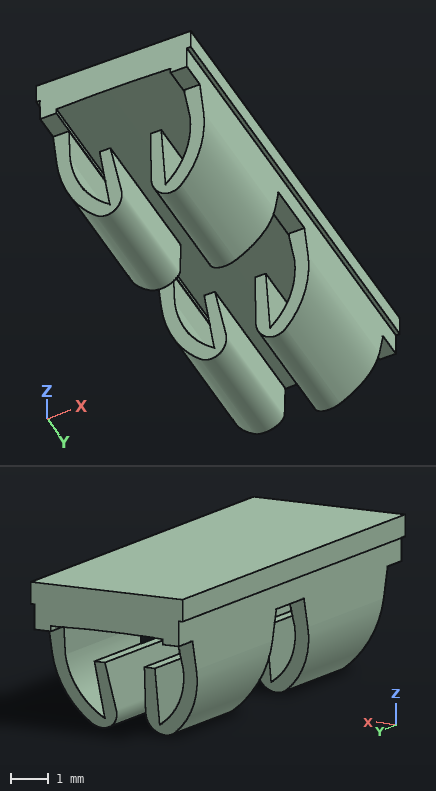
import cadquery as cq
import math

length = 12.2
flange_width = 4.6
flange_height = 0.6
body_half_width = 2.18
body_bottom = -1.28
total_height = 4.1

channel_half_width = 1.7
ceiling_edge = -1.13
ceiling_crown = -1.1

arc_start = -2.1
outer_radius = 2.42
wall_thickness = 0.4
inner_radius = outer_radius - wall_thickness
arc_center_x = body_half_width - outer_radius

foot_radius = 0.51
foot_z = foot_radius - total_height
foot_x = arc_center_x + math.sqrt((outer_radius - foot_radius) ** 2 - (arc_start - foot_z) ** 2)

prong_top = -2.2
prong_inner_x = 0.6
prong_outer_x = 0.92
groove_bottom_x = 0.83

clip_spacing = 6.1
clip_top_length = 4.59
clip_bottom_length = 3.14


def on_circle(center_x, center_z, radius, angle):
    return (center_x + radius * math.cos(angle), center_z + radius * math.sin(angle))


def prism(profile):
    """Extrude an XZ profile over the full length, centred on Y."""
    return profile.extrude(length / 2, both=True)


def make_plate():
    flange = cq.Workplane("XY").box(flange_width, length, flange_height, centered=(True, True, False))
    flange = flange.translate((0, 0, -flange_height))
    body = cq.Workplane("XY").box(2 * body_half_width, length, -body_bottom, centered=(True, True, False))
    body = body.translate((0, 0, body_bottom))
    channel = prism(
        cq.Workplane("XZ")
        .moveTo(-channel_half_width, body_bottom)
        .lineTo(-channel_half_width, ceiling_edge)
        .threePointArc((0, ceiling_crown), (channel_half_width, ceiling_edge))
        .lineTo(channel_half_width, body_bottom)
        .close()
    )
    return flange.union(body).cut(channel)


def make_clip_wall():
    """One hooked wall on the +X side, as long as the plate."""
    join_angle = math.atan2(foot_z - arc_start, foot_x - arc_center_x)
    outer_mid = on_circle(arc_center_x, arc_start, outer_radius, join_angle / 2)
    foot_start = on_circle(foot_x, foot_z, foot_radius, join_angle)

    dx = prong_inner_x - foot_x
    dz = prong_top - foot_z
    tangent_angle = math.atan2(dz, dx) + math.acos(foot_radius / math.hypot(dx, dz))
    foot_end = on_circle(foot_x, foot_z, foot_radius, tangent_angle)
    foot_bottom = (foot_x, -total_height)

    groove_angle = -math.acos((groove_bottom_x - arc_center_x) / inner_radius)
    groove_bottom = on_circle(arc_center_x, arc_start, inner_radius, groove_angle)
    inner_mid = on_circle(arc_center_x, arc_start, inner_radius, groove_angle / 2)
    inner_start = (arc_center_x + inner_radius, arc_start)

    return prism(
        cq.Workplane("XZ")
        .moveTo(channel_half_width, ceiling_edge)
        .lineTo(body_half_width, ceiling_edge)
        .lineTo(body_half_width, arc_start)
        .threePointArc(outer_mid, foot_start)
        .threePointArc(foot_bottom, foot_end)
        .lineTo(prong_inner_x, prong_top)
        .lineTo(prong_outer_x, prong_top)
        .lineTo(*groove_bottom)
        .threePointArc(inner_mid, inner_start)
        .close()
    )


def make_clip_envelope(center_y):
    """Tapered block that limits one pair of clips along Y."""
    top_half = clip_top_length / 2
    bottom_half = clip_bottom_length / 2
    return (
        cq.Workplane("YZ")
        .polyline([
            (center_y - top_half, body_bottom),
            (center_y + top_half, body_bottom),
            (center_y + bottom_half, -total_height),
            (center_y - bottom_half, -total_height),
        ])
        .close()
        .extrude(flange_width / 2, both=True)
    )


wall = make_clip_wall()
walls = wall.union(wall.mirror("YZ"))

result = make_plate()
for center_y in (-clip_spacing / 2, clip_spacing / 2):
    result = result.union(walls.intersect(make_clip_envelope(center_y)))